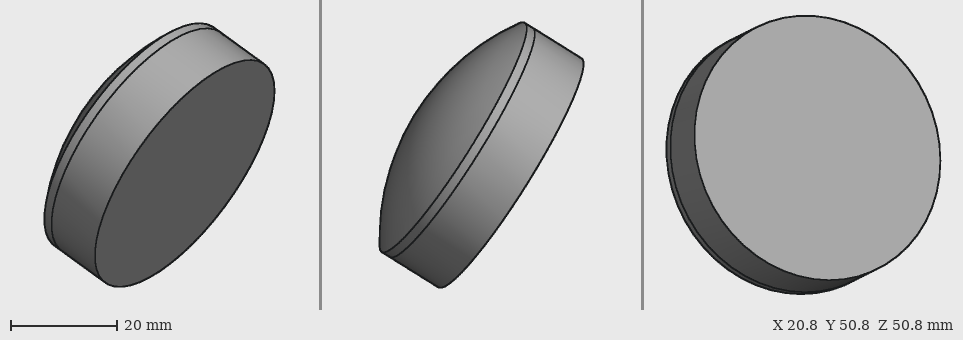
import cadquery as cq

lens_radius = 25.4
total_thickness = 20.75
dome_height = 8.0
front_edge_thickness = 1.85

rim_x = dome_height
joint_x = rim_x + front_edge_thickness
rear_thickness = total_thickness - joint_x
dome_sphere_radius = (lens_radius**2 + dome_height**2) / (2 * dome_height)


def make_domed_lens():
    """Spherical dome with a thin cylindrical edge and a flat rear face."""
    dome_sphere = cq.Workplane("XY").sphere(dome_sphere_radius).translate((dome_sphere_radius, 0, 0))
    return cq.Workplane("YZ").circle(lens_radius).extrude(joint_x).intersect(dome_sphere)


def make_rear_lens():
    """Flat disc seated against the rear face of the domed lens."""
    return cq.Workplane("YZ", origin=(joint_x, 0, 0)).circle(lens_radius).extrude(rear_thickness)


domed_lens = make_domed_lens()
rear_lens = make_rear_lens()

result = cq.Compound.makeCompound([domed_lens.val(), rear_lens.val()])